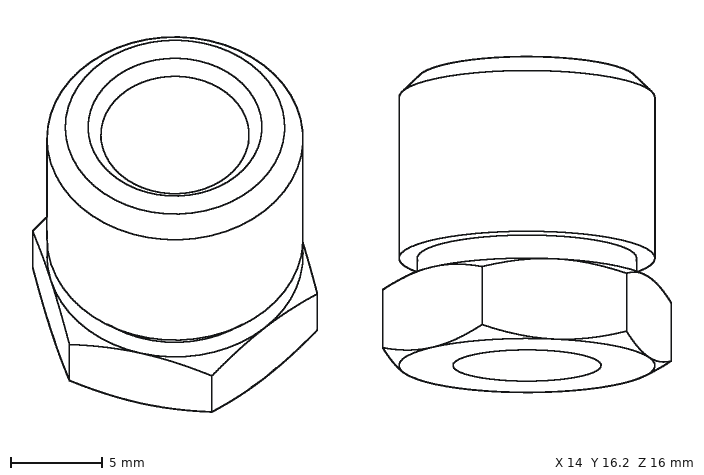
import cadquery as cq
import math

across_corners = 16.17
across_flats = across_corners * math.cos(math.radians(30))
head_height = 4.5
head_bevel_angle = 30.0

total_height = 16.0
neck_height = 1.5
neck_diameter = 12.0
body_diameter = across_flats
body_chamfer = 1.0

bore_diameter = 8.1
mouth_diameter = 9.5
mouth_depth = (mouth_diameter - bore_diameter) / 2


def make_head():
    """Hexagon with flats facing X and all corners bevelled at both ends."""
    hexagon = (
        cq.Workplane("XY")
        .polygon(6, across_corners)
        .extrude(head_height)
        .rotate((0, 0, 0), (0, 0, 1), 30)
    )
    flat_radius = across_flats / 2
    corner_radius = across_corners / 2
    bevel_height = (corner_radius - flat_radius) * math.tan(math.radians(head_bevel_angle))
    envelope = (
        cq.Workplane("XZ")
        .moveTo(0, 0)
        .lineTo(flat_radius, 0)
        .lineTo(corner_radius, bevel_height)
        .lineTo(corner_radius, head_height - bevel_height)
        .lineTo(flat_radius, head_height)
        .lineTo(0, head_height)
        .close()
        .revolve(360, (0, 0, 0), (0, 1, 0))
    )
    return hexagon.intersect(envelope)


def make_neck():
    return cq.Workplane("XY").workplane(offset=head_height).circle(neck_diameter / 2).extrude(neck_height)


def make_body():
    body_base = head_height + neck_height
    return (
        cq.Workplane("XY")
        .workplane(offset=body_base)
        .circle(body_diameter / 2)
        .extrude(total_height - body_base)
        .faces(">Z")
        .edges()
        .chamfer(body_chamfer)
    )


def make_bore():
    """Cutter: straight bore opening into a conical mouth."""
    return (
        cq.Workplane("XZ")
        .moveTo(0, 0)
        .lineTo(bore_diameter / 2, 0)
        .lineTo(bore_diameter / 2, total_height - mouth_depth)
        .lineTo(mouth_diameter / 2, total_height)
        .lineTo(0, total_height)
        .close()
        .revolve(360, (0, 0, 0), (0, 1, 0))
    )


result = make_head().union(make_neck()).union(make_body()).cut(make_bore())